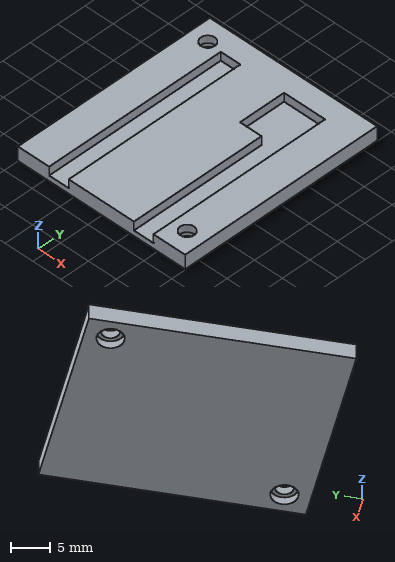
import cadquery as cq

width = 30.0
length = 35.0
thickness = 2.5

channel_width = 3.5
channel_depth = 1.5
channel_end = 31.25
left_channel_x = 5.65
right_channel_x = 20.82

pocket_width = 7.35
pocket_length = 8.0

hole_diameter = 2.4
counterbore_diameter = 3.6
counterbore_depth = 1.2
hole_inset_x = 3.08
hole_inset_y = 3.5


def recess(x, y, size_x, size_y):
    """Rectangular cutter reaching from the top face down to the channel floor."""
    floor = thickness - channel_depth
    return cq.Workplane("XY").box(size_x, size_y, channel_depth, centered=False).translate((x, y, floor))


plate = cq.Workplane("XY").box(width, length, thickness, centered=False)

for channel_x in (left_channel_x, right_channel_x):
    plate = plate.cut(recess(channel_x, 0, channel_width, channel_end))

pocket_x = right_channel_x + channel_width - pocket_width
pocket_y = channel_end - pocket_length
plate = plate.cut(recess(pocket_x, pocket_y, pocket_width, pocket_length))

hole_centers = [
    (hole_inset_x, length - hole_inset_y),
    (width - hole_inset_x, hole_inset_y),
]
holes = cq.Workplane("XY").pushPoints(hole_centers).circle(hole_diameter / 2).extrude(thickness)
counterbores = (
    cq.Workplane("XY")
    .pushPoints(hole_centers)
    .circle(counterbore_diameter / 2)
    .extrude(counterbore_depth)
)

result = plate.cut(holes).cut(counterbores)